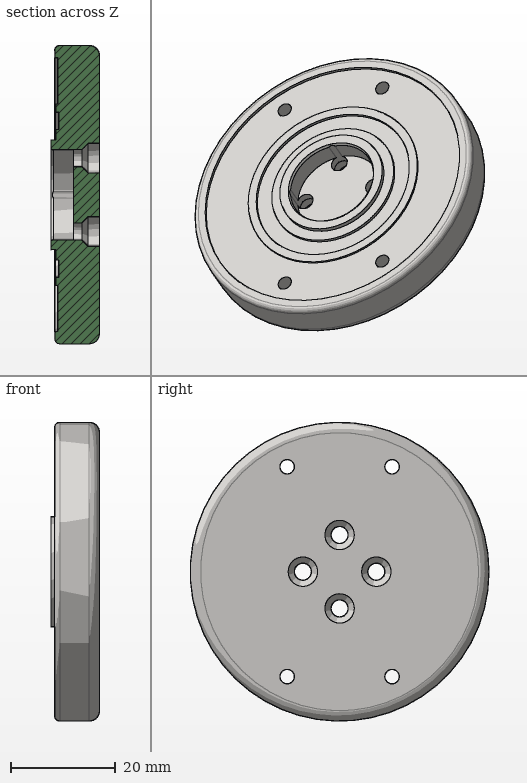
import cadquery as cq
import math

outer_diameter = 57.0
total_thickness = 9.3
hub_height = 0.7
body_thickness = total_thickness - hub_height
front_fillet = 1.0
back_fillet = 2.0

rim_inner_radius = 26.1
ring_outer_radius = 17.35
ring_inner_radius = 15.7
boss_radius = 12.5
hub_radius = 10.5
face_recess = 0.6
ring_recess = 0.2
groove_recess = 0.8

bore_radius = 8.5
bore_chamfer_width = 0.25
bore_chamfer_depth = 0.5
bore_depth = 4.3

bore_hole_diameter = 3.2
bore_hole_circle_radius = 7.0
bore_hole_land = 1.6
counterbore_diameter = 5.6
seat_half_angle = 45.0

flange_hole_diameter = 2.7
flange_hole_spacing_y = 20.0
flange_hole_spacing_z = 40.0


def cylinders(diameter, centres, x_start, x_end):
    """Solid cylinders along X at the given (Y, Z) centres."""
    plane = cq.Workplane("YZ").workplane(offset=x_start)
    return plane.pushPoints(centres).circle(diameter / 2).extrude(x_end - x_start)


def disc(radius, x_start, x_end):
    return cylinders(2 * radius, [(0, 0)], x_start, x_end)


def make_body():
    body = disc(outer_diameter / 2, 0, body_thickness)
    body = body.faces("<X").edges().fillet(front_fillet)
    return body.faces(">X").edges().fillet(back_fillet)


def add_front_steps(body):
    """Recess the front face, then form the ring, groove, boss and hub."""
    body = body.cut(disc(rim_inner_radius, 0, face_recess))
    body = body.union(disc(ring_outer_radius, ring_recess, groove_recess))
    body = body.cut(disc(ring_inner_radius, 0, groove_recess))
    body = body.union(disc(boss_radius, ring_recess, groove_recess))
    return body.union(disc(hub_radius, -hub_height, groove_recess))


def cut_bore(body):
    body = body.cut(disc(bore_radius, -hub_height, bore_depth - hub_height))
    bore_mouth = cq.selectors.RadiusNthSelector(0)
    return body.faces("<X").edges(bore_mouth).chamfer(bore_chamfer_width, bore_chamfer_depth)


def bore_hole_cutters(centres):
    """Plain hole, conical seat opening towards the back, then a counterbore."""
    seat_start = bore_depth - hub_height + bore_hole_land
    seat_growth = (counterbore_diameter - bore_hole_diameter) / 2
    seat_depth = seat_growth / math.tan(math.radians(seat_half_angle))
    seat_end = seat_start + seat_depth
    seats = (
        cq.Workplane("YZ")
        .workplane(offset=seat_end)
        .pushPoints(centres)
        .circle(counterbore_diameter / 2)
        .extrude(-seat_depth, taper=seat_half_angle)
    )
    shanks = cylinders(bore_hole_diameter, centres, -hub_height, body_thickness)
    counterbores = cylinders(counterbore_diameter, centres, seat_end, body_thickness)
    return [shanks, seats, counterbores]


def cut_bore_holes(body):
    r = bore_hole_circle_radius
    centres = [(r, 0), (0, r), (-r, 0), (0, -r)]
    for cutter in bore_hole_cutters(centres):
        body = body.cut(cutter)
    return body


def cut_flange_holes(body):
    centres = [
        (side_y * flange_hole_spacing_y / 2, side_z * flange_hole_spacing_z / 2)
        for side_y in (-1, 1)
        for side_z in (-1, 1)
    ]
    return body.cut(cylinders(flange_hole_diameter, centres, 0, body_thickness))


result = make_body()
result = add_front_steps(result)
result = cut_bore(result)
result = cut_bore_holes(result)
result = cut_flange_holes(result)